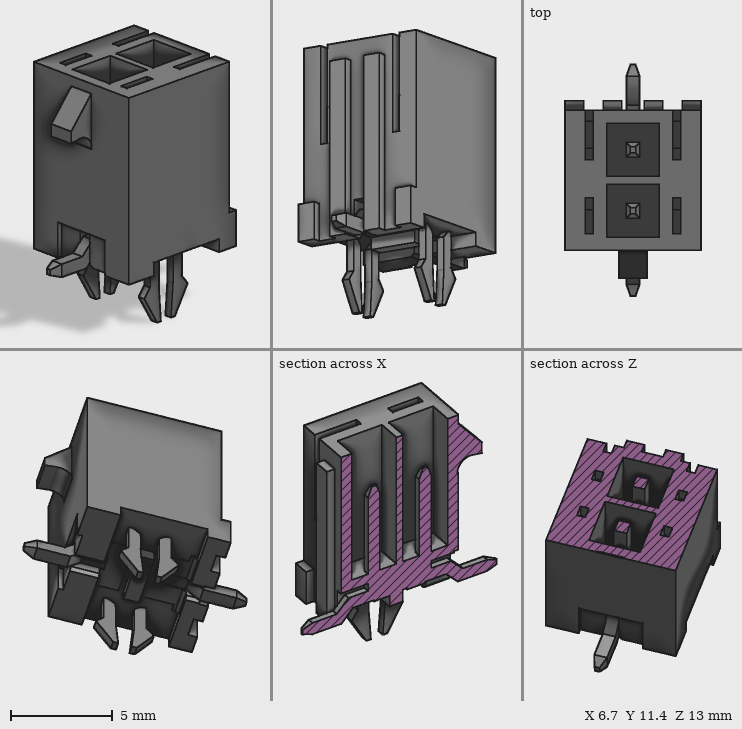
import cadquery as cq


BODY_X = 6.7
BODY_Y = 6.9
BODY_Z = 9.9
HALF_X = BODY_X / 2
FRONT_Y = -BODY_Y / 2
BACK_Y = BODY_Y / 2

PITCH = 3.0
CAVITY_SIDE = 2.6
CAVITY_FLOOR = 2.4

PIN_X = 0.66
PIN_Y = 0.72
PIN_TOP = 7.5
TAIL_THICKNESS = 0.7
TAIL_END = 5.7
TAIL_BEND_END = 3.7
TAIL_DROP = 0.7
PIN_TIP_LENGTH = 0.58
PIN_TIP_X = 0.25
PIN_TIP_THICKNESS = 0.3

PASSAGE_HEIGHT = 1.8
PASSAGE_FLARE = 0.17
PASSAGE_INNER_Y = PITCH / 2

POCKET_X = 3.3
POCKET_HEIGHT = 1.88
POCKET_DEPTH = 0.26

CHANNEL_FRONT = -1.73
CHANNEL_BACK = 2.74
CHANNEL_HEIGHT = 0.7
PAD_X = 2.6
PAD_DROP = 0.08
FRONT_PAD_BACK = -0.45
STOP_FRONT = -0.2
STOP_BACK = 0.59
LEDGE_X = 3.3
LEDGE_FRONT = 2.4
LEDGE_CHAMFER = 0.19

RIB_DEPTH = 0.47
RIB_WIDTH = 0.93
RIB_HEIGHT = 8.9
RIB_CENTER_X = 1.01
FOOT_HEIGHT = 1.9

LATCH_X = 1.4
LATCH_TOP = 9.37
LATCH_REACH = 1.38
LATCH_NOSE_TOP = 7.75
LATCH_NOSE_BOTTOM = 7.1
LATCH_RADIUS = 0.78
LATCH_ARC_CENTER_Z = 6.43
LATCH_UNDERCUT = 0.06

SLOT_X = 0.41
SLOT_CENTER_X = 2.15
SLOT_FLOOR = 4.9
FRONT_SLOT = (-2.62, -0.85)
BACK_SLOT = (1.01, BACK_Y)

CLIP_CENTER_Y = 0.07
CLIP_BOTTOM = -3.1
CLIP_ARM_TOP = 6.9
FRONT_ARM = (-2.62, -1.44)
BACK_ARM = (1.585, 2.91)
LEG_INNER = 0.48
LEG_OUTER = 1.10
LEG_RELIEF = 0.36
BARB_TIP = 1.49
BARB_SHOULDER_Z = -1.1
BARB_TIP_Z = -1.6
LEG_BEND_Z = -1.3
LEG_END_INNER = 0.345
LEG_END_OUTER = 0.61


def block(x_range, y_range, z_range):
    """Axis-aligned box between the given limits."""
    (x0, x1), (y0, y1), (z0, z1) = x_range, y_range, z_range
    return cq.Workplane("XY").box(x1 - x0, y1 - y0, z1 - z0, centered=False).translate((x0, y0, z0))


def centered(width, center=0.0):
    """Limits of a span of the given width about a center."""
    return (center - width / 2, center + width / 2)


def yz_prism(points, width, center_x=0.0):
    """Closed Y-Z outline extruded along X, centered on center_x."""
    outline = cq.Workplane("YZ").polyline(points).close()
    return outline.extrude(width / 2, both=True).translate((center_x, 0, 0))


def make_housing():
    housing = block(centered(BODY_X), (FRONT_Y, BACK_Y), (0, BODY_Z))
    back_span = (BACK_Y, BACK_Y + RIB_DEPTH)
    for side in (-1, 1):
        rib_x = centered(RIB_WIDTH, side * RIB_CENTER_X)
        foot_x = centered(RIB_WIDTH, side * (HALF_X - RIB_WIDTH / 2))
        housing = housing.union(block(rib_x, back_span, (0, RIB_HEIGHT)))
        housing = housing.union(block(foot_x, back_span, (0, FOOT_HEIGHT)))
    return housing


def cut_cavities(housing):
    for side in (-1, 1):
        cavity_y = centered(CAVITY_SIDE, side * PITCH / 2)
        housing = housing.cut(block(centered(CAVITY_SIDE), cavity_y, (CAVITY_FLOOR, BODY_Z)))
    return housing


def cut_underside(housing):
    channel_y = (CHANNEL_FRONT, CHANNEL_BACK)
    housing = housing.cut(block(centered(BODY_X), channel_y, (0, CHANNEL_HEIGHT)))

    pad_z = (CHANNEL_HEIGHT - PAD_DROP, CHANNEL_HEIGHT)
    pad_x = centered(PAD_X)
    housing = housing.union(block(pad_x, (CHANNEL_FRONT, FRONT_PAD_BACK), pad_z))
    housing = housing.union(block(pad_x, (STOP_BACK, CHANNEL_BACK), pad_z))
    housing = housing.union(block(pad_x, (STOP_FRONT, STOP_BACK), (0, CHANNEL_HEIGHT)))

    ledge_z = CHANNEL_HEIGHT - PAD_DROP
    ledge = yz_prism(
        [
            (CHANNEL_BACK, CHANNEL_HEIGHT),
            (CHANNEL_BACK, ledge_z - LEDGE_CHAMFER),
            (CHANNEL_BACK - LEDGE_CHAMFER, ledge_z),
            (LEDGE_FRONT, ledge_z),
            (LEDGE_FRONT, CHANNEL_HEIGHT),
        ],
        LEDGE_X,
    )
    return housing.union(ledge)


def cut_tail_openings(housing):
    """Front pocket, and a passage with a flared mouth in each wall."""
    pocket_y = (FRONT_Y, FRONT_Y + POCKET_DEPTH)
    housing = housing.cut(block(centered(POCKET_X), pocket_y, (0, POCKET_HEIGHT)))

    half = PIN_X / 2
    profile = [
        (-half - PASSAGE_FLARE, 0),
        (-half, PASSAGE_FLARE),
        (-half, PASSAGE_HEIGHT),
        (half, PASSAGE_HEIGHT),
        (half, PASSAGE_FLARE),
        (half + PASSAGE_FLARE, 0),
    ]
    wall_reach = BACK_Y + RIB_DEPTH - PASSAGE_INNER_Y
    front_passage = (
        cq.Workplane("XZ", origin=(0, -PASSAGE_INNER_Y, 0)).polyline(profile).close().extrude(wall_reach)
    )
    back_passage = front_passage.mirror("XZ")
    return housing.cut(front_passage).cut(back_passage)


def cut_clip_slots(housing):
    for side in (-1, 1):
        slot_x = centered(SLOT_X, side * SLOT_CENTER_X)
        for slot_y in (FRONT_SLOT, BACK_SLOT):
            housing = housing.cut(block(slot_x, slot_y, (SLOT_FLOOR, BODY_Z)))
    return housing


def add_latch(housing):
    """Ramped latch whose underside blends into a shallow undercut in the front wall."""
    wall_y = FRONT_Y + LATCH_UNDERCUT
    nose_y = FRONT_Y - LATCH_REACH
    arc_y = wall_y - LATCH_RADIUS
    arc_top_z = LATCH_ARC_CENTER_Z + LATCH_RADIUS

    undercut = block(centered(LATCH_X), (FRONT_Y, wall_y), (LATCH_ARC_CENTER_Z, LATCH_TOP))
    latch = (
        cq.Workplane("YZ")
        .moveTo(wall_y, LATCH_TOP)
        .lineTo(FRONT_Y, LATCH_TOP)
        .lineTo(nose_y, LATCH_NOSE_TOP)
        .lineTo(nose_y, LATCH_NOSE_BOTTOM)
        .lineTo(arc_y, arc_top_z)
        .radiusArc((wall_y, LATCH_ARC_CENTER_Z), LATCH_RADIUS)
        .close()
        .extrude(LATCH_X / 2, both=True)
    )
    return housing.cut(undercut).union(latch)


def make_back_pin():
    """Pin in the back cavity, with a tail stepped down to the board and out to +Y."""
    pin_y = PITCH / 2
    upper_z = TAIL_THICKNESS + TAIL_DROP
    bend_start = TAIL_BEND_END - TAIL_DROP
    tip_start = TAIL_END - PIN_TIP_LENGTH
    lower_shift = TAIL_THICKNESS * (2**0.5 - 1)
    post = block(centered(PIN_X), centered(PIN_Y, pin_y), (TAIL_DROP, PIN_TOP - PIN_TIP_LENGTH))
    post_tip = (
        cq.Workplane("XY", origin=(0, pin_y, PIN_TOP - PIN_TIP_LENGTH))
        .rect(PIN_X, PIN_Y)
        .workplane(offset=PIN_TIP_LENGTH)
        .rect(PIN_TIP_X, PIN_TIP_THICKNESS)
        .loft()
    )
    tail = yz_prism(
        [
            (pin_y, TAIL_DROP),
            (pin_y, upper_z),
            (bend_start, upper_z),
            (TAIL_BEND_END, TAIL_THICKNESS),
            (tip_start, TAIL_THICKNESS),
            (tip_start, 0),
            (TAIL_BEND_END - lower_shift, 0),
            (bend_start - lower_shift, TAIL_DROP),
        ],
        PIN_X,
    )
    tail_tip = (
        cq.Workplane("XZ", origin=(0, tip_start, TAIL_THICKNESS / 2))
        .rect(PIN_X, TAIL_THICKNESS)
        .workplane(offset=-PIN_TIP_LENGTH)
        .rect(PIN_TIP_X, PIN_TIP_THICKNESS)
        .loft()
    )
    return post.union(post_tip).union(tail).union(tail_tip)


def make_clip(center_x):
    """Two barbed legs below the housing and two arms standing in the slots above."""
    clip_x = centered(SLOT_X, center_x)
    clip = block(clip_x, FRONT_ARM, (SLOT_FLOOR, CLIP_ARM_TOP))
    clip = clip.union(block(clip_x, BACK_ARM, (SLOT_FLOOR, CLIP_ARM_TOP)))
    for side in (-1, 1):
        offsets = [
            (LEG_OUTER, CHANNEL_HEIGHT),
            (LEG_OUTER, BARB_SHOULDER_Z),
            (BARB_TIP, BARB_TIP_Z),
            (LEG_END_OUTER, CLIP_BOTTOM),
            (LEG_END_INNER, CLIP_BOTTOM),
            (LEG_INNER, LEG_BEND_Z),
            (LEG_INNER, CHANNEL_HEIGHT - LEG_RELIEF),
            (LEG_INNER + LEG_RELIEF, CHANNEL_HEIGHT),
        ]
        points = [(CLIP_CENTER_Y + side * y, z) for y, z in offsets]
        clip = clip.union(yz_prism(points, SLOT_X, center_x))
    return clip


housing = make_housing()
housing = cut_cavities(housing)
housing = cut_underside(housing)
housing = cut_tail_openings(housing)
housing = cut_clip_slots(housing)
housing = add_latch(housing)

back_pin = make_back_pin()
result = housing.union(back_pin).union(back_pin.mirror("XZ"))
for clip_side in (-1, 1):
    result = result.union(make_clip(clip_side * SLOT_CENTER_X))